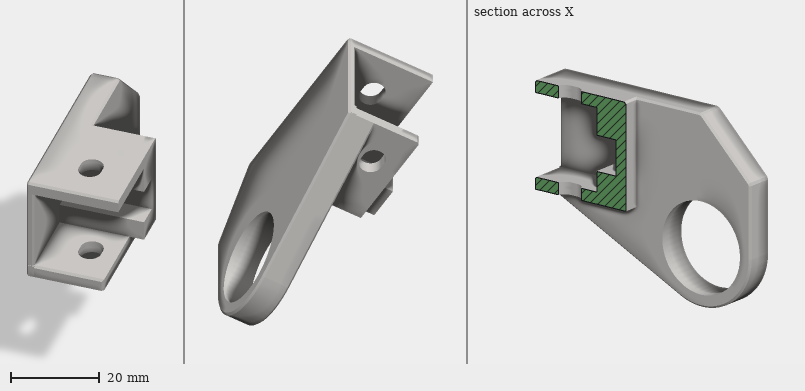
import cadquery as cq
import math

plate_thickness = 7.0
hole_radius = 11.1
ring_wall = 3.0
ring_radius = hole_radius + ring_wall
ring_y = 44.4
top_z = 46.1
rear_y = ring_y + ring_radius
edge_chamfer = 0.5
slope_chamfer = 0.41

clevis_length = 26.0
clevis_width = 22.0
arm_thickness = 3.0
gap_height = 20.0
gap_top_z = top_z - arm_thickness
gap_floor_z = gap_top_z - gap_height
flange_bottom_z = gap_floor_z - arm_thickness
flange_width = 18.5
side_wall = 1.86

rib_front_y = 17.7
recess_bottom_z = 28.0
recess_top_z = 36.5
back_wall = 3.0

slot_x = 12.0
slot_y = 10.0
slot_width = 5.3
slot_length = 6.8

lip_depth = 0.11
lip_bottom_z = flange_bottom_z + lip_depth


def box(x, y, z):
    """Box from (start, end) pairs along each axis."""
    size = (x[1] - x[0], y[1] - y[0], z[1] - z[0])
    return cq.Workplane("XY").box(*size, centered=False).translate((x[0], y[0], z[0]))


def ring_point(angle):
    """Point (y, z) on the outside of the ring."""
    return (ring_y + ring_radius * math.cos(angle), ring_radius + ring_radius * math.sin(angle))


def chamfer_corner(plate, y, z, size):
    """Chamfer the plate corner that runs along X through (y, z)."""
    corner = cq.selectors.NearestToPointSelector((plate_thickness / 2, y, z))
    return plate.edges(corner).chamfer(size)


def side_plate():
    """Tapered plate whose lower edge runs tangent into the ring."""
    to_corner_y = -ring_y
    to_corner_z = flange_bottom_z - ring_radius
    corner_distance = math.hypot(to_corner_y, to_corner_z)
    corner_angle = math.atan2(to_corner_z, to_corner_y)
    tangent_angle = corner_angle + math.acos(ring_radius / corner_distance)
    outline = (
        cq.Workplane("YZ")
        .moveTo(0, flange_bottom_z)
        .lineTo(0, top_z)
        .lineTo(ring_y, top_z)
        .lineTo(rear_y, top_z - ring_radius)
        .lineTo(rear_y, ring_radius)
        .threePointArc(ring_point((tangent_angle - 2 * math.pi) / 2), ring_point(tangent_angle))
        .close()
    )
    plate = outline.extrude(plate_thickness)
    plate = chamfer_corner(plate, 0, top_z, edge_chamfer)
    plate = chamfer_corner(plate, ring_y, top_z, slope_chamfer)
    plate = chamfer_corner(plate, rear_y, top_z - ring_radius, slope_chamfer)
    return plate.faces("<X or >X").edges().chamfer(edge_chamfer)


def clevis_block():
    """Solid block of the clevis, chamfered along its top edges and the free corner of the flange."""
    inner_x = plate_thickness / 2
    upper = box((inner_x, clevis_width), (0, clevis_length), (gap_floor_z, top_z))
    upper = upper.edges("|X and >Z").chamfer(edge_chamfer)
    flange = box((inner_x, flange_width), (0, clevis_length), (flange_bottom_z, gap_floor_z))
    flange = flange.edges("|Z and >X and <Y").chamfer(edge_chamfer)
    return upper.union(flange)


def gap():
    """Opening between the arms, including the recess between the ribs."""
    across = (side_wall, clevis_width)
    opening = box(across, (0, rib_front_y), (gap_floor_z, gap_top_z))
    recess = box(across, (0, clevis_length - back_wall), (recess_bottom_z, recess_top_z))
    return opening.union(recess)


def mouth_chamfers():
    """Bevels on the front edges of the side wall and of the flange."""
    wall_bevel = (
        cq.Workplane("XY", origin=(0, 0, gap_floor_z))
        .moveTo(side_wall - edge_chamfer, 0)
        .lineTo(side_wall, 0)
        .lineTo(side_wall, edge_chamfer)
        .close()
        .extrude(gap_height)
    )
    flange_bevel = (
        cq.Workplane("YZ", origin=(side_wall, 0, 0))
        .moveTo(0, gap_floor_z - edge_chamfer)
        .lineTo(0, gap_floor_z)
        .lineTo(edge_chamfer, gap_floor_z)
        .close()
        .extrude(clevis_width - side_wall)
    )
    return wall_bevel.union(flange_bevel)


def lip():
    """Thin pad on the front of the side wall."""
    return box((edge_chamfer, side_wall), (-lip_depth, edge_chamfer), (lip_bottom_z, gap_floor_z))


def slot():
    """Rounded slot that passes through both arms."""
    return (
        cq.Workplane("XY", origin=(slot_x, slot_y, 0))
        .slot2D(slot_length, slot_width, 90)
        .extrude(top_z)
    )


ring_hole = (
    cq.Workplane("YZ", origin=(0, ring_y, ring_radius))
    .circle(hole_radius)
    .extrude(plate_thickness)
)

body = side_plate().union(clevis_block())
body = body.cut(gap()).cut(mouth_chamfers()).cut(slot()).cut(ring_hole)
result = body.union(lip())